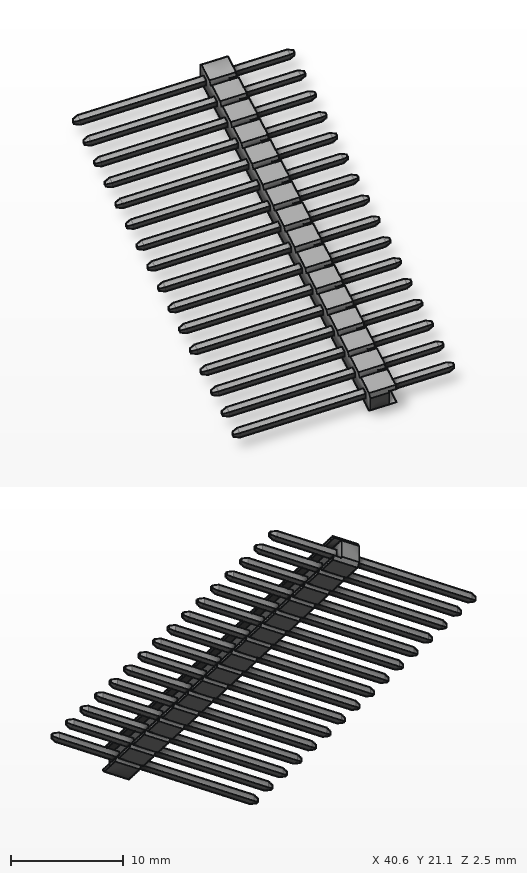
import cadquery as cq

pin_count = 16
strip_length = 40.65
pitch = strip_length / pin_count

strip_height = 2.5
strip_depth = pitch
chamfer_width = 0.305
chamfer_height = 0.4

lip_thickness = 0.33
channel_depth = 0.75

pin_width = 0.65
pin_length = 21.1
pin_side_offset = -0.1
pin_rear_reach = 5.97
tip_length = 0.53
tip_width = 0.33

strip_rear = strip_depth / 2
pin_rear = strip_rear + pin_rear_reach
pin_front = pin_rear - pin_length
block_centres = [(i - (pin_count - 1) / 2) * pitch for i in range(pin_count)]


def make_block():
    """One chamfered block of the strip, centred on the origin."""
    side = pitch / 2
    top = strip_height / 2
    outline = [
        (side, top - chamfer_height),
        (side - chamfer_width, top),
        (chamfer_width - side, top),
        (-side, top - chamfer_height),
        (-side, chamfer_height - top),
        (chamfer_width - side, -top),
        (side - chamfer_width, -top),
        (side, chamfer_height - top),
    ]
    return cq.Workplane("XZ").polyline(outline).close().extrude(strip_depth / 2, both=True)


def make_strip():
    """Row of blocks whose adjoining chamfers form V notches, with the rear channel cut."""
    block = make_block()
    strip = cq.Workplane("XY")
    for x in block_centres:
        strip = strip.add(block.translate((x, 0, 0)))
    strip = strip.combine()
    channel_height = strip_height - 2 * lip_thickness
    channel = cq.Workplane("XY").box(strip_length, channel_depth, channel_height)
    return strip.cut(channel.translate((0, strip_rear - channel_depth / 2, 0)))


def make_tip(y_base, direction):
    """Blunt pyramid growing from y_base along +Y (direction 1) or -Y (direction -1)."""
    base_plane = cq.Plane(origin=(0, y_base, 0), xDir=(1, 0, 0), normal=(0, direction, 0))
    return (
        cq.Workplane(base_plane)
        .rect(pin_width, pin_width)
        .workplane(offset=tip_length)
        .rect(tip_width, tip_width)
        .loft(ruled=True)
    )


def make_pin():
    """Square pin at X = 0 with a tapered tip at both ends."""
    shank_length = pin_length - 2 * tip_length
    shank = cq.Workplane("XY").box(pin_width, shank_length, pin_width)
    shank = shank.translate((0, (pin_front + pin_rear) / 2, 0))
    rear_tip = make_tip(pin_rear - tip_length, 1)
    front_tip = make_tip(pin_front + tip_length, -1)
    return shank.union(rear_tip).union(front_tip)


result = make_strip()
pin = make_pin()
for x in block_centres:
    result = result.union(pin.translate((x + pin_side_offset, 0, 0)))